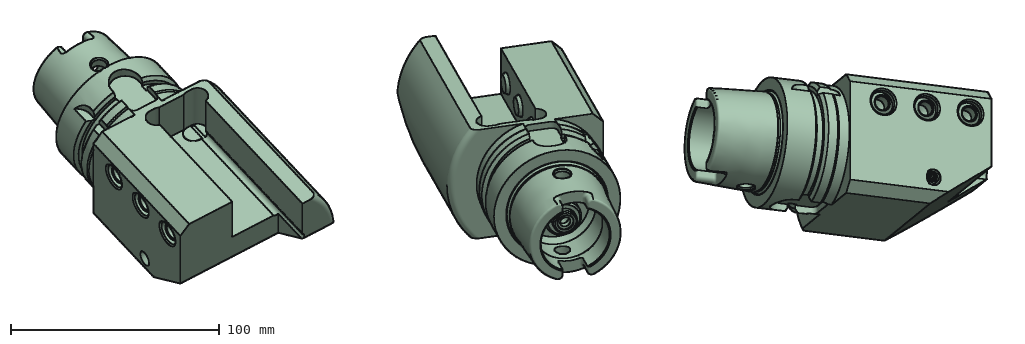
import cadquery as cq
import math


shank_length = 32.0
shank_tip_radius = 22.8
shank_root_radius = 24.29
shank_tip_fillet = 1.1
relief_start = -2.0
relief_depth = 0.5
relief_bottom_end = -0.6
face_groove_inner_radius = 24.88
face_groove_outer_radius = 25.5
face_groove_depth = 0.5

bore_mouth_radius = 17.6
bore_radius = 17.03
bore_step_depth = 12.5
inner_bore_radius = 18.5
bore_floor_radius = 15.9
post_radius = 9.03
post_tip_radius = 8.0
post_length = 11.8
stud_radius = 6.0
stud_tip_radius = 5.26
stud_length = 3.1
stud_recess_radius = 4.0
stud_recess_depth = 0.8
stud_hole_radius = 2.5
stud_hole_depth = 3.1
drill_tip_half_angle = 60

drive_slot_half_width = 6.1
drive_slot_ledge = 20.96
drive_slot_edge_radius = 2.2
drive_slot_end_fillet = 1.3
upper_drive_slot_length = 6.1
lower_drive_slot_length = 9.9

radial_hole_place = -9.0
radial_hole_diameter = 7.5
radial_hole_sink_diameter = 9.0
radial_sink_top = 23.5
radial_sink_depth = 0.8

flange_radius = 31.48
flange_length = 25.9
neck_start = 26.8
neck_radius = 31.0
gripper_groove_radius = 27.5
gripper_wall_radius = 29.5
gripper_left_edge = 14.68
gripper_left_wall = 16.0
gripper_right_wall = 19.8
gripper_right_edge = 21.2

keyway_arc_center = 12.95
keyway_end = 30.1
keyway_corner_radius = 3.0
keyway_floor = 26.45
upper_keyway_width = 16.0
lower_keyway_width = 18.0
notch_width = 16.0
notch_arc_center = 12.2
notch_wall = 20.0
notch_floor = 20.02

body_start = shank_length
body_end = 104.7
plate_end = 157 - shank_length
half_height = 30.0
front_face = -32.0
back_radius = 44.9
back_edge_fillet = 3.0
front_chamfer = 5.2
slope_start = 75.2
slope_angle = 35

channel_start = 34.9
channel_front = -1.7
channel_back = 25.1
channel_floor = 4.9
corner_groove_radius = 2.2
corner_groove_inset = 1.1
corner_groove_rise = 1.49
end_relief_radius = 5.0
end_relief_length = 12.5
end_relief_center_x = 39.2
end_relief_overcut = 3.8
end_relief_extra_depth = 0.55

screw_first_x = 49.1
screw_spacing = 22.37
screw_count = 3
screw_z = 16.5
screw_hole_mouth_radius = 6.8
screw_hole_radius = 6.0
screw_mouth_chamfer = 0.8
screw_shoulder_depth = 3.5
screw_head_depth = 1.5
screw_socket_mouth_radius = 4.0
screw_socket_radius = 3.5
screw_socket_depth = 6.3
screw_tip_base_radius = 5.5
screw_tip_radius = 4.47
screw_tip_length = 1.9

nozzle_x = 74.97
nozzle_z = -18.45
nozzle_tilt = 25
nozzle_hole_radius = 3.6
nozzle_hole_depth = 2.4
nozzle_seat_mouth_radius = 2.59
nozzle_seat_radius = 2.12
nozzle_seat_depth = 1.0
nozzle_ring_radius = 1.7
nozzle_bore_radius = 1.02
nozzle_bore_depth = 3.1


def turned(points):
    """Solid of revolution about the X axis from (x, radius) points."""
    return cq.Workplane("XY").polyline(points).close().revolve(360, (0, 0, 0), (1, 0, 0))


def tip_length(radius):
    """Length of a drill tip of the given radius."""
    return radius / math.tan(math.radians(drill_tip_half_angle))


def make_shank():
    """Tapered shank with its bore, drive slots and radial holes."""
    relief_radius = shank_root_radius - relief_depth
    shank = turned([
        (-shank_length, 0),
        (-shank_length, shank_tip_radius),
        (relief_start, shank_root_radius),
        (relief_start + relief_depth, relief_radius),
        (relief_bottom_end, relief_radius),
        (face_groove_depth, face_groove_inner_radius),
        (face_groove_depth, 0),
    ])
    slots = drive_slot(upper_drive_slot_length, 1).union(drive_slot(lower_drive_slot_length, -1))
    shank = shank.cut(slots)
    shank = shank.faces("<X").edges().fillet(shank_tip_fillet)
    return shank.cut(make_bore()).cut(radial_hole(1)).cut(radial_hole(-1))


def make_flange():
    """Flange with its gripper groove, and the neck that joins it to the body."""
    return turned([
        (face_groove_depth, 0),
        (face_groove_depth, face_groove_inner_radius),
        (0, face_groove_outer_radius),
        (0, flange_radius),
        (gripper_left_edge, flange_radius),
        (gripper_left_wall, gripper_wall_radius),
        (gripper_left_wall, gripper_groove_radius),
        (gripper_right_wall, gripper_groove_radius),
        (gripper_right_wall, gripper_wall_radius),
        (gripper_right_edge, flange_radius),
        (flange_length, flange_radius),
        (neck_start, neck_radius),
        (body_start, neck_radius),
        (body_start, 0),
    ])


def make_bore():
    """Cutter for the shank bore, which widens behind its mouth and narrows at the floor."""
    step_x = bore_step_depth - shank_length
    mouth_chamfer = bore_mouth_radius - bore_radius
    step = inner_bore_radius - bore_radius
    floor_cone = inner_bore_radius - bore_floor_radius
    return turned([
        (-shank_length, 0),
        (-shank_length, bore_mouth_radius),
        (mouth_chamfer - shank_length, bore_radius),
        (step_x, bore_radius),
        (step_x + step, inner_bore_radius),
        (-floor_cone, inner_bore_radius),
        (0, bore_floor_radius),
        (0, 0),
    ])


def make_post():
    """Chamfered post with a smaller stud in front of it and a stepped centre hole."""
    post_chamfer = post_radius - post_tip_radius
    stud_chamfer = stud_radius - stud_tip_radius
    stud_end = -post_length - stud_length
    recess_end = stud_end + stud_recess_depth
    hole_end = recess_end + stud_hole_depth
    return turned([
        (0, 0),
        (0, post_radius),
        (post_chamfer - post_length, post_radius),
        (-post_length, post_tip_radius),
        (-post_length, stud_radius),
        (stud_end + stud_chamfer, stud_radius),
        (stud_end, stud_tip_radius),
        (stud_end, stud_recess_radius),
        (recess_end, stud_recess_radius),
        (recess_end, stud_hole_radius),
        (hole_end, stud_hole_radius),
        (hole_end + tip_length(stud_hole_radius), 0),
    ])


def drive_slot(length, side):
    """Slot across the shank wall at the tip, above (side 1) or below (side -1) the axis."""
    outer = 2 * shank_root_radius
    arc_bottom = drive_slot_ledge - drive_slot_edge_radius
    arc_shift = drive_slot_edge_radius * (1 - math.sqrt(0.5))
    wide = drive_slot_half_width + drive_slot_edge_radius
    slot = (
        cq.Workplane("YZ", origin=(-shank_length, 0, 0))
        .moveTo(-drive_slot_half_width, 0)
        .lineTo(-drive_slot_half_width, arc_bottom)
        .threePointArc(
            (-drive_slot_half_width - arc_shift, drive_slot_ledge - arc_shift),
            (-wide, drive_slot_ledge),
        )
        .lineTo(-outer, drive_slot_ledge)
        .lineTo(-outer, outer)
        .lineTo(outer, outer)
        .lineTo(outer, drive_slot_ledge)
        .lineTo(wide, drive_slot_ledge)
        .threePointArc(
            (drive_slot_half_width + arc_shift, drive_slot_ledge - arc_shift),
            (drive_slot_half_width, arc_bottom),
        )
        .lineTo(drive_slot_half_width, 0)
        .close()
        .extrude(length)
    )
    slot = slot.faces(">X").edges().fillet(drive_slot_end_fillet)
    if side < 0:
        slot = slot.mirror("XY")
    return slot


def radial_hole(side):
    """Countersunk hole through the shank wall into the bore, above or below the axis."""
    sink_radius = radial_hole_sink_diameter / 2
    hole_radius = radial_hole_diameter / 2
    hole = (
        cq.Workplane("XZ", origin=(radial_hole_place, 0, 0))
        .polyline([
            (0, bore_floor_radius),
            (hole_radius, bore_floor_radius),
            (hole_radius, radial_sink_top - radial_sink_depth),
            (sink_radius, radial_sink_top),
            (sink_radius, flange_radius),
            (0, flange_radius),
        ])
        .close()
        .revolve(360, (0, 0, 0), (0, 1, 0))
    )
    if side < 0:
        hole = hole.mirror("XY")
    return hole


def keyway(width, arc_center, center_y, floor):
    """Cutter with a round end towards the shank, reaching from the floor past the flange top."""
    radius = width / 2
    length = keyway_end - arc_center
    cutter = (
        cq.Workplane("XY", origin=(arc_center, center_y, floor))
        .moveTo(0, -radius)
        .lineTo(length, -radius)
        .lineTo(length, radius)
        .lineTo(0, radius)
        .threePointArc((-radius, 0), (0, -radius))
        .close()
        .extrude(flange_radius)
    )
    return cutter.edges("|Z and >X").fillet(keyway_corner_radius)


def block(x_range, y_range, z_range):
    """Box between the given limits."""
    corner = (x_range[0], y_range[0], z_range[0])
    sizes = [limits[1] - limits[0] for limits in (x_range, y_range, z_range)]
    return cq.Workplane("XY").box(*sizes, centered=False).translate(corner)


def make_body():
    """Chamfered block whose back is rounded about the shank axis."""
    length = plate_end - body_start
    back = (
        cq.Workplane("YZ", origin=(body_start, 0, 0))
        .circle(back_radius)
        .extrude(length)
        .edges()
        .fillet(back_edge_fillet)
    )
    heights = (-half_height, half_height)
    back = back.intersect(block((body_start, plate_end), (0, back_radius), heights))
    front = block((body_start, body_end), (front_face, 0), heights)
    front = front.edges("|X and <Y").chamfer(front_chamfer)
    plate_gap = block((body_end, plate_end), (0, channel_back), heights)
    return back.cut(plate_gap).union(front)


def underside_slope():
    """Wedge under the sloping face that runs up towards the plate's end."""
    run = plate_end - slope_start
    rise = run * math.tan(math.radians(slope_angle))
    return (
        cq.Workplane("XZ", origin=(slope_start, 0, -half_height))
        .polyline([(0, 0), (run, 0), (run, rise)])
        .close()
        .extrude(back_radius, both=True)
    )


def make_channel():
    """Tool channel with a relief groove in its back corner and reliefs at its closed end."""
    channel = block(
        (channel_start, plate_end), (channel_front, channel_back), (channel_floor, half_height)
    )
    groove_y = channel_back - corner_groove_inset
    groove_z = channel_floor + corner_groove_rise
    corner_groove = (
        cq.Workplane("YZ", origin=(channel_start, groove_y, groove_z))
        .circle(corner_groove_radius)
        .extrude(plate_end - channel_start)
    )
    relief_inset = end_relief_length / 2 - end_relief_overcut
    relief_floor = channel_floor - end_relief_extra_depth
    end_reliefs = (
        cq.Workplane("XY", origin=(end_relief_center_x, 0, relief_floor))
        .pushPoints([(0, channel_front + relief_inset), (0, channel_back - relief_inset)])
        .slot2D(end_relief_length, 2 * end_relief_radius, 90)
        .extrude(half_height)
    )
    return channel.union(corner_groove).union(end_reliefs)


def turned_from_face(points, x, z):
    """Solid of revolution about Y from (radius, depth) points below the front face."""
    return (
        cq.Workplane("XY", origin=(x, front_face, z))
        .polyline(points)
        .close()
        .revolve(360, (0, 0, 0), (0, 1, 0))
    )


def screw_recess_cut(x):
    """Chamfered hole around a screw head with a conical rim and a drilled socket."""
    socket_chamfer = screw_socket_mouth_radius - screw_socket_radius
    socket_end = screw_head_depth + screw_socket_depth
    return turned_from_face(
        [
            (0, 0),
            (screw_hole_mouth_radius, 0),
            (screw_hole_radius, screw_mouth_chamfer),
            (screw_hole_radius, screw_shoulder_depth),
            (screw_socket_mouth_radius, screw_head_depth),
            (screw_socket_radius, screw_head_depth + socket_chamfer),
            (screw_socket_radius, socket_end),
            (0, socket_end + tip_length(screw_socket_radius)),
        ],
        x,
        screw_z,
    )


def screw_tip(x):
    """Conical screw tip standing out of the channel's front wall."""
    wall_depth = channel_front - front_face
    tip_depth = wall_depth + screw_tip_length
    return turned_from_face(
        [
            (0, wall_depth),
            (screw_tip_base_radius, wall_depth),
            (screw_tip_radius, tip_depth),
            (0, tip_depth),
        ],
        x,
        screw_z,
    )


def nozzle_cut():
    """Stepped coolant hole in the front face, tilted upwards on its way in."""
    seat_chamfer = nozzle_seat_mouth_radius - nozzle_seat_radius
    seat_end = nozzle_hole_depth + nozzle_seat_depth
    hole = turned_from_face(
        [
            (0, -nozzle_hole_radius),
            (nozzle_hole_radius, -nozzle_hole_radius),
            (nozzle_hole_radius, nozzle_hole_depth),
            (nozzle_seat_mouth_radius, nozzle_hole_depth),
            (nozzle_seat_radius, nozzle_hole_depth + seat_chamfer),
            (nozzle_ring_radius, nozzle_hole_depth + seat_chamfer),
            (nozzle_ring_radius, seat_end),
            (nozzle_bore_radius, seat_end),
            (nozzle_bore_radius, seat_end + nozzle_bore_depth),
            (0, seat_end + nozzle_bore_depth),
        ],
        nozzle_x,
        nozzle_z,
    )
    axis_start = (nozzle_x, front_face, nozzle_z)
    axis_end = (nozzle_x + 1.5, front_face, nozzle_z)
    return hole.rotate(axis_start, axis_end, nozzle_tilt)


neck_flats = block(
    (neck_start, body_start), (-flange_radius, flange_radius), (half_height, flange_radius)
)
upper_keyway = keyway(upper_keyway_width, keyway_arc_center, 0, keyway_floor)
lower_keyway = keyway(lower_keyway_width, keyway_arc_center, 0, keyway_floor).mirror("XY")
notch = keyway(notch_width, notch_arc_center, -notch_wall - notch_width / 2, notch_floor)
flange = make_flange()
for cutter in (neck_flats, neck_flats.mirror("XY"), upper_keyway, lower_keyway, notch):
    flange = flange.cut(cutter)

body = make_body().cut(make_channel()).cut(underside_slope()).cut(nozzle_cut())
for index in range(screw_count):
    screw_x = screw_first_x + index * screw_spacing
    body = body.cut(screw_recess_cut(screw_x)).union(screw_tip(screw_x))

result = make_shank().union(flange).union(make_post()).union(body)